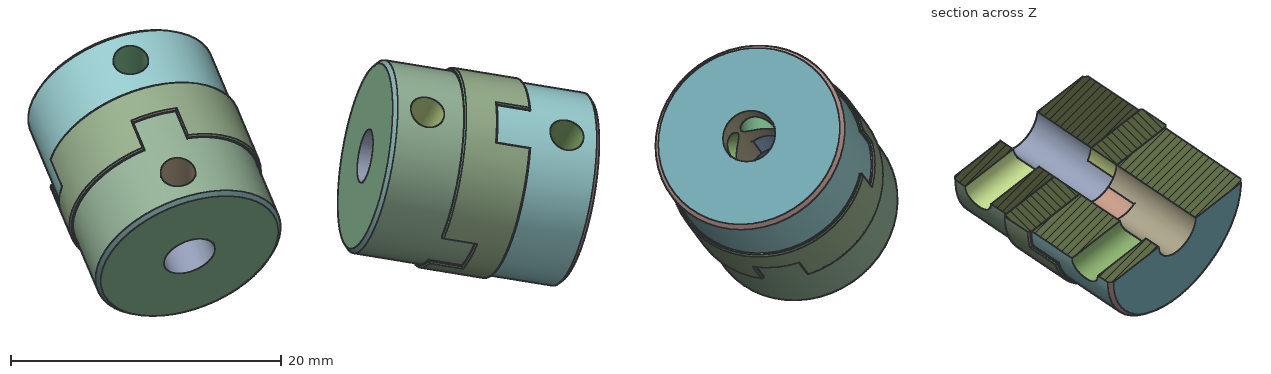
import cadquery as cq

length = 16.0
hub_diameter = 14.5
hub_edge_chamfer = 0.3
bore_diameter = 4.0

disc_diameter = 15.0
disc_thickness = 5.18
disc_edge_chamfer = 0.13

tongue_width = 3.33
tongue_depth = disc_thickness / 2

screw_hole_diameter = 2.6
screw_hole_offset = 5.4

hub_radius = hub_diameter / 2
disc_face = disc_thickness / 2
hub_length = length / 2 - disc_face
cut_length = 2 * disc_diameter


def x_cylinder(diameter, x_start, height):
    """Solid cylinder along +X starting at x_start."""
    return cq.Workplane("YZ").workplane(offset=x_start).circle(diameter / 2).extrude(height)


def tongue_bar():
    """Straight bar along Y that fills the slot in the -X face of the disc."""
    return cq.Workplane("XY").box(tongue_depth, cut_length, tongue_width).translate(
        (-disc_face + tongue_depth / 2, 0, 0)
    )


def to_opposite_side(body):
    """Move a -X side shape to the +X side, turned so its Z goes to +Y and its Y to +Z."""
    return body.rotate((0, 0, 0), (0, 0, 1), 180).rotate((0, 0, 0), (1, 0, 0), -90)


def make_hub():
    """Hub at the -X end, with a tongue along Y and two radial screw holes."""
    body = x_cylinder(hub_diameter, -length / 2, hub_length).faces("<X").chamfer(hub_edge_chamfer)
    tongue = x_cylinder(hub_diameter, -disc_face, tongue_depth).intersect(tongue_bar())
    hub = body.union(tongue)
    hub = hub.cut(x_cylinder(bore_diameter, -length / 2, length))

    screw_hole = (
        cq.Workplane("XY")
        .center(-screw_hole_offset, 0)
        .circle(screw_hole_diameter / 2)
        .extrude(hub_radius)
    )
    for angle in (0, -90):
        hub = hub.cut(screw_hole.rotate((0, 0, 0), (1, 0, 0), angle))
    return hub


def make_disc():
    """Centre disc with a crossed slot in each face and chamfered outer edges."""
    disc = x_cylinder(disc_diameter, -disc_face, disc_thickness)
    disc = disc.cut(x_cylinder(bore_diameter, -disc_face, disc_thickness))
    slot = tongue_bar()
    disc = disc.cut(slot).cut(to_opposite_side(slot))

    rim_faces = [
        face
        for face in disc.faces("%CYLINDER").vals()
        if face.BoundingBox().zlen > bore_diameter
    ]
    rim_edges = [edge for face in rim_faces for edge in face.Edges()]
    return disc.newObject(rim_edges).chamfer(disc_edge_chamfer)


left_hub = make_hub()
right_hub = to_opposite_side(make_hub())
disc = make_disc()

result = cq.Compound.makeCompound([left_hub.val(), disc.val(), right_hub.val()])